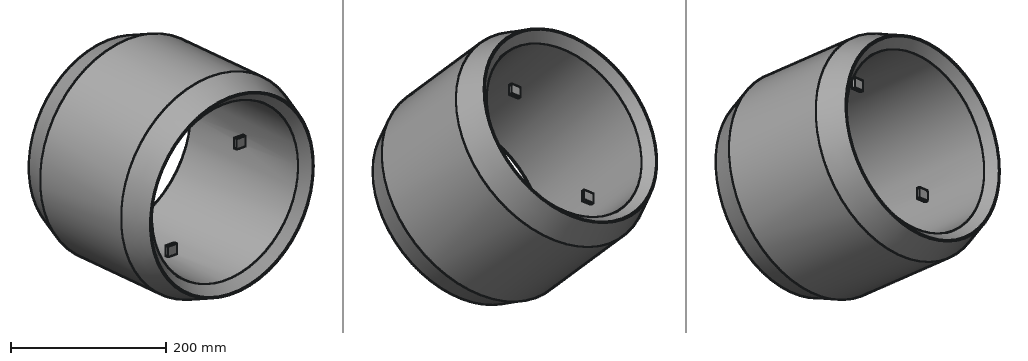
import cadquery as cq

length = 238.0
outer_diameter = 310.0
bore_diameter = 250.0
outer_taper_length = 39.7
outer_taper_depth = 15.0
rim_width = 2.0

tab_count = 4
tab_width = 15.0
tab_height = 15.0
tab_thickness = 5.0
tab_embed = 3.0

outer_radius = outer_diameter / 2
bore_radius = bore_diameter / 2
end_outer_radius = outer_radius - outer_taper_depth
end_inner_radius = end_outer_radius - rim_width
mouth_depth = end_inner_radius - bore_radius
half_length = length / 2


def make_sleeve():
    """Revolve the wall section, tapered outside and inside at both ends."""
    taper_x = half_length - outer_taper_length
    mouth_x = half_length - mouth_depth
    section = (
        cq.Workplane("XY")
        .moveTo(-half_length, end_inner_radius)
        .lineTo(-half_length, end_outer_radius)
        .lineTo(-taper_x, outer_radius)
        .lineTo(taper_x, outer_radius)
        .lineTo(half_length, end_outer_radius)
        .lineTo(half_length, end_inner_radius)
        .lineTo(mouth_x, bore_radius)
        .lineTo(-mouth_x, bore_radius)
        .close()
    )
    return section.revolve(360, (0, 0, 0), (1, 0, 0))


def make_tab(angle):
    """Make one tab, rooted in the wall, turned about the sleeve axis."""
    tab_inner_radius = bore_radius - tab_height
    tab = cq.Workplane("XY").box(
        tab_thickness, tab_width, tab_height + tab_embed, centered=(False, True, False)
    )
    tab = tab.translate((-tab_thickness / 2, 0, tab_inner_radius))
    return tab.rotate((0, 0, 0), (1, 0, 0), angle)


result = make_sleeve()
for index in range(tab_count):
    result = result.union(make_tab(index * 360 / tab_count))